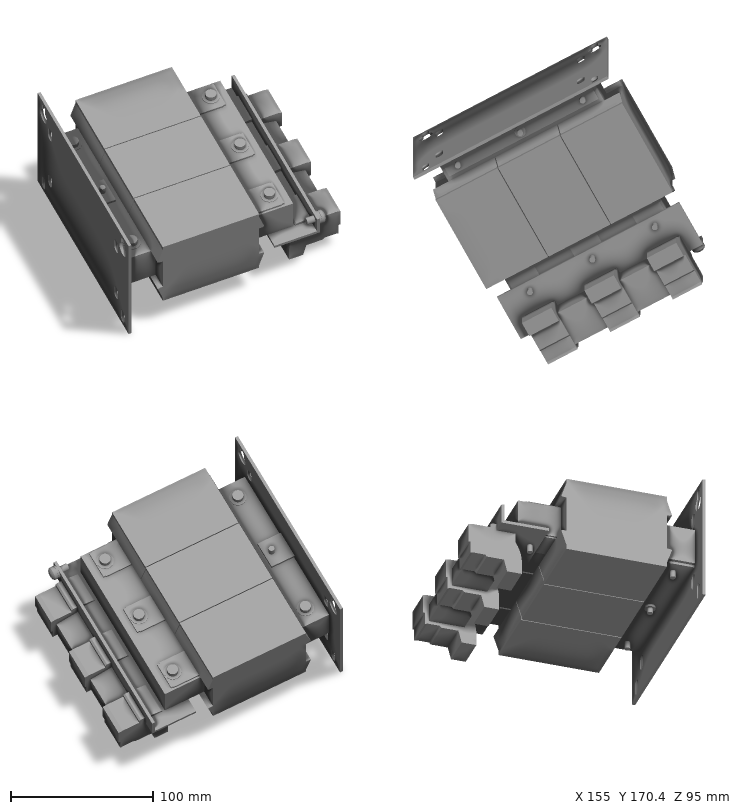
import cadquery as cq


PLATE_WIDTH = 155.0
PLATE_HEIGHT = 95.0
PLATE_THICKNESS = 2.2
MOUNT_X = 67.5
MOUNT_Z = 38.9
MOUNT_SLOT_WIDTH = 5.6
MOUNT_SLOT_LENGTH = 11.6
KEYHOLE_RADIUS = 5.5
KEYHOLE_DROP = 5.6
INNER_SLOT_X = 56.5
INNER_SLOT_Z = 25.0
INNER_SLOT_WIDTH = 6.3
INNER_SLOT_LENGTH = 11.6

PHASE_PITCH = 50.0
PHASES = (-PHASE_PITCH, 0, PHASE_PITCH)
CORE_WIDTH = 124.4
CORE_HEIGHT = 24.4
CORE_FRONT = 3.2
SHEET_FRONT = 2.7
CORE_BACK = 133.8
CORE_MID_Z = 0.7
SHEET_THICKNESS = 1.5
CORE_TOP = CORE_MID_Z + CORE_HEIGHT / 2
CORE_BOTTOM = CORE_MID_Z - CORE_HEIGHT / 2
SHEET_TOP = CORE_TOP + SHEET_THICKNESS
SHEET_BOTTOM = CORE_BOTTOM - SHEET_THICKNESS

COIL_GAP = 0.7
COIL_WIDTH = PHASE_PITCH - COIL_GAP
COIL_FRONT = 27.8
COIL_BACK = 102.0
COIL_HALF_HEIGHT = 29.0
COIL_MID_Z = 0.9
FLARE_REACH = 4.0
FLARE_START = 3.0
LIP_DEPTH = 1.9
LIP_RISE = 0.5

TAB_WIDTH = 21.8
TAB_BACK = 127.8
LOWER_TAB_THICKNESS = 1.0
TAB_NOTCH_WIDTH = 0.5
TAB_NOTCH_LENGTH = 1.9

UPPER_FOOT_WIDTH = 20.8
LOWER_FOOT_WIDTH = 119.3
FOOT_BACK = 20.6
FOOT_THICKNESS = 1.9
FOOT_BOTTOM = SHEET_BOTTOM - FOOT_THICKNESS

FRONT_BOLT_Y = 15.0
BACK_BOLT_Y = 121.0
STUD_RADIUS = 2.0
STUD_TOP = 21.5
STUD_BOTTOM = -20.3
BOLT_HEAD_RADIUS = 4.0
BOLT_HEAD_HEIGHT = 3.4
LOWER_NUT_HEIGHT = 1.7
WASHER_RADIUS = 6.1
WASHER_THICKNESS = 0.5

CARRIER_WIDTH = 145.5
CARRIER_FRONT = 114.7
CARRIER_BACK = 149.6
CARRIER_TOP = 0.3
CARRIER_THICKNESS = 2.2

BLOCK_WIDTH = 23.5
BLOCK_BACK = 170.4
BLOCK_STEP_BACK = 169.0
BLOCK_TOP_BACK = 167.2
BLOCK_TOP = -13.0
RIDGE_BACK = 154.0
RIDGE_TOP = -9.5
CHEEK_TOP_Y = 135.5
CHEEK_TOP_Z = -22.0
CHEEK_MID = (132.2, -28.8)
CHEEK_BOTTOM_Z = -36.6
SKIRT_FRONT = 130.9
SKIRT_BOTTOM = -47.0
BLOCK_STEP_Z = -28.0
BLOCK_BOTTOM = -36.5
TOP_EDGE_DROP = 0.7
BOTTOM_LIP = 0.7
STEP_BACK = 156.8
STEP_SLOPE = 1.2
STEP_DEPTH = 1.4
SKIRT_BACK = 141.8
SKIRT_ROOT_BACK = 144.2
RIDGE_BEVEL = 1.4
RIDGE_BACK_DROP = 1.0
RIDGE_SLOPE_DROP = 1.4
CHEEK_BEVEL = 1.0
RAIL_BACK = 166.0
RAIL_FRONT = 139.7
RAIL_TOP = -15.3
RAIL_DROP = 5.1
RAIL_BOTTOM = -34.0

SCREW_X = 67.5
SCREW_Z = -4.6
SCREW_RADIUS = 2.5
SCREW_END = 141.5
SCREW_HEAD_RADIUS = 4.8
SCREW_NECK_RADIUS = 4.5
SCREW_WASHER = 1.4
SCREW_NECK = 0.7
SCREW_RIM = 2.0
SCREW_DOME = 1.9
SCREW_DOME_FLAT = 1.7
SCREW_DOME_MID_RADIUS = 3.5
SCREW_DOME_MID_RISE = 1.2
RECESS_LENGTH = 5.1
RECESS_WIDTH = 1.0
RECESS_DEPTH = 1.4


def block(x_range, y_range, z_range):
    """Box between the given limits on each axis."""
    spans = [high - low for low, high in (x_range, y_range, z_range)]
    corner = (x_range[0], y_range[0], z_range[0])
    return cq.Workplane("XY").box(*spans, centered=False).translate(corner)


def centred_range(width, centre=0):
    return (centre - width / 2, centre + width / 2)


def upright(x, y, radius, z_low, z_high):
    """Cylinder standing along Z."""
    return cq.Workplane("XY", origin=(x, y, z_low)).circle(radius).extrude(z_high - z_low)


def side_prism(points, width, x=0):
    """Outline in Y and Z, extruded along X and centred on x."""
    start = x - width / 2
    return cq.Workplane("YZ", origin=(start, 0, 0)).polyline(points).close().extrude(width)


def plate_cut(points):
    """Workplane for cutting the plate from its outer face at the given X, Z points."""
    return cq.Workplane("XZ").pushPoints(points)


def mounting_plate():
    plate = block(centred_range(PLATE_WIDTH), (0, PLATE_THICKNESS), centred_range(PLATE_HEIGHT))
    mounts = [(x, z) for x in (-MOUNT_X, MOUNT_X) for z in (-MOUNT_Z, MOUNT_Z)]
    inner = [(x, z) for x in (-INNER_SLOT_X, INNER_SLOT_X) for z in (-INNER_SLOT_Z, INNER_SLOT_Z)]
    keyholes = [(x, MOUNT_Z - KEYHOLE_DROP) for x in (-MOUNT_X, MOUNT_X)]
    cut_sketches = (
        plate_cut(mounts).slot2D(MOUNT_SLOT_LENGTH, MOUNT_SLOT_WIDTH, 90),
        plate_cut(inner).slot2D(INNER_SLOT_LENGTH, INNER_SLOT_WIDTH, 90),
        plate_cut(keyholes).circle(KEYHOLE_RADIUS),
    )
    for sketch in cut_sketches:
        plate = plate.cut(sketch.extrude(-PLATE_THICKNESS))
    return plate


def core():
    laminations = block(centred_range(CORE_WIDTH), (CORE_FRONT, CORE_BACK), (CORE_BOTTOM, CORE_TOP))
    front_sheets = block(centred_range(CORE_WIDTH), (SHEET_FRONT, COIL_FRONT), (SHEET_BOTTOM, SHEET_TOP))
    return laminations.union(front_sheets)


def coil(x):
    """Winding block whose four long edges flare out over the yokes."""
    top = COIL_MID_Z + COIL_HALF_HEIGHT
    bottom = COIL_MID_Z - COIL_HALF_HEIGHT
    front_tip = COIL_FRONT - FLARE_REACH
    back_tip = COIL_BACK + FLARE_REACH
    front_lip = front_tip + LIP_DEPTH
    back_lip = back_tip - LIP_DEPTH
    outline = [
        (COIL_FRONT, top),
        (COIL_FRONT, top - FLARE_START),
        (front_tip, SHEET_TOP + LIP_RISE),
        (front_lip, SHEET_TOP),
        (COIL_FRONT, SHEET_TOP),
        (COIL_FRONT, SHEET_BOTTOM),
        (front_lip, SHEET_BOTTOM),
        (front_tip, SHEET_BOTTOM - LIP_RISE),
        (COIL_FRONT, bottom + FLARE_START),
        (COIL_FRONT, bottom),
        (COIL_BACK, bottom),
        (COIL_BACK, bottom + FLARE_START),
        (back_tip, SHEET_BOTTOM - LIP_RISE),
        (back_lip, SHEET_BOTTOM),
        (COIL_BACK, SHEET_BOTTOM),
        (COIL_BACK, SHEET_TOP),
        (back_lip, SHEET_TOP),
        (back_tip, SHEET_TOP + LIP_RISE),
        (COIL_BACK, top - FLARE_START),
        (COIL_BACK, top),
    ]
    return side_prism(outline, COIL_WIDTH, x)


def insulating_tab(x, z_range):
    """Sheet on the core at a rear bolt, narrowed at its free end."""
    wide = block(centred_range(TAB_WIDTH, x), (COIL_BACK, TAB_BACK - TAB_NOTCH_LENGTH), z_range)
    end = block(centred_range(TAB_WIDTH - 2 * TAB_NOTCH_WIDTH, x), (COIL_BACK, TAB_BACK), z_range)
    return wide.union(end)


def feet():
    """Narrow foot above the core and a wide foot below it."""
    top = block(centred_range(UPPER_FOOT_WIDTH), (0, FOOT_BACK), (SHEET_TOP, SHEET_TOP + FOOT_THICKNESS))
    bottom = block(centred_range(LOWER_FOOT_WIDTH), (0, FOOT_BACK), (FOOT_BOTTOM, SHEET_BOTTOM))
    return top.union(bottom)


def bolt_head(x, y):
    seat = SHEET_TOP + WASHER_THICKNESS
    washer = upright(x, y, WASHER_RADIUS, SHEET_TOP, seat)
    return washer.union(upright(x, y, BOLT_HEAD_RADIUS, seat, seat + BOLT_HEAD_HEIGHT))


def bolt(x, y):
    shank = upright(x, y, STUD_RADIUS, STUD_BOTTOM, SHEET_TOP)
    return shank.union(bolt_head(x, y))


def centre_stud():
    """Headless stud through both feet, with a nut under the lower one."""
    stud = upright(0, FRONT_BOLT_Y, STUD_RADIUS, STUD_BOTTOM, STUD_TOP)
    nut = upright(0, FRONT_BOLT_Y, BOLT_HEAD_RADIUS, FOOT_BOTTOM - LOWER_NUT_HEIGHT, FOOT_BOTTOM)
    return stud.union(nut)


def bolts():
    parts = centre_stud()
    for x in PHASES:
        parts = parts.union(bolt(x, BACK_BOLT_Y))
    for x in (-PHASE_PITCH, PHASE_PITCH):
        parts = parts.union(bolt(x, FRONT_BOLT_Y))
    return parts


def terminal_carrier():
    base_top = CORE_BOTTOM - LOWER_TAB_THICKNESS
    underside = base_top - CARRIER_THICKNESS
    base_z = (underside, base_top)
    base = block(centred_range(CARRIER_WIDTH), (CARRIER_FRONT, CARRIER_BACK), base_z)
    wall_y = (CARRIER_BACK - CARRIER_THICKNESS, CARRIER_BACK)
    return base.union(block(centred_range(CARRIER_WIDTH), wall_y, (underside, CARRIER_TOP)))


def terminal_block(x):
    """Stepped housing with a curved front cheek above its wire-entry skirt."""
    return (
        cq.Workplane("YZ", origin=(x - BLOCK_WIDTH / 2, 0, 0))
        .moveTo(BLOCK_BACK, BLOCK_TOP - TOP_EDGE_DROP)
        .lineTo(BLOCK_TOP_BACK, BLOCK_TOP)
        .lineTo(RIDGE_BACK, BLOCK_TOP)
        .lineTo(RIDGE_BACK, RIDGE_TOP - RIDGE_BACK_DROP)
        .lineTo(RIDGE_BACK - RIDGE_BEVEL, RIDGE_TOP)
        .lineTo(CARRIER_BACK - CARRIER_THICKNESS, RIDGE_TOP)
        .lineTo(CHEEK_TOP_Y + CHEEK_BEVEL, RIDGE_TOP - RIDGE_SLOPE_DROP)
        .lineTo(CHEEK_TOP_Y, RIDGE_TOP - RIDGE_SLOPE_DROP - CHEEK_BEVEL)
        .lineTo(CHEEK_TOP_Y, CHEEK_TOP_Z)
        .threePointArc(CHEEK_MID, (SKIRT_FRONT, CHEEK_BOTTOM_Z))
        .lineTo(SKIRT_FRONT, SKIRT_BOTTOM)
        .lineTo(SKIRT_BACK, SKIRT_BOTTOM)
        .lineTo(SKIRT_ROOT_BACK, BLOCK_BOTTOM - STEP_DEPTH)
        .lineTo(STEP_BACK, BLOCK_BOTTOM - STEP_DEPTH)
        .lineTo(STEP_BACK + STEP_SLOPE, BLOCK_BOTTOM)
        .lineTo(BLOCK_TOP_BACK, BLOCK_BOTTOM)
        .lineTo(BLOCK_STEP_BACK, BLOCK_BOTTOM - BOTTOM_LIP)
        .lineTo(BLOCK_STEP_BACK, BLOCK_STEP_Z)
        .lineTo(BLOCK_BACK, BLOCK_STEP_Z)
        .close()
        .extrude(BLOCK_WIDTH)
    )


def terminal_rail():
    """Sloping bar that links the terminal blocks."""
    outline = [
        (RAIL_FRONT, RAIL_TOP),
        (RAIL_BACK, RAIL_TOP - RAIL_DROP),
        (RAIL_BACK, RAIL_BOTTOM),
        (RAIL_FRONT, RAIL_BOTTOM),
    ]
    return side_prism(outline, 2 * PHASE_PITCH)


def earth_screw():
    """Cross-recessed screw through the carrier wall, with a washer under its head."""
    washer_end = CARRIER_BACK + SCREW_WASHER
    neck_end = washer_end + SCREW_NECK
    rim_end = neck_end + SCREW_RIM
    head_end = rim_end + SCREW_DOME
    profile = [
        (0, SCREW_END),
        (SCREW_RADIUS, SCREW_END),
        (SCREW_RADIUS, CARRIER_BACK),
        (SCREW_HEAD_RADIUS, CARRIER_BACK),
        (SCREW_HEAD_RADIUS, washer_end),
        (SCREW_NECK_RADIUS, washer_end),
        (SCREW_NECK_RADIUS, neck_end),
        (SCREW_HEAD_RADIUS, neck_end),
        (SCREW_HEAD_RADIUS, rim_end),
    ]
    dome_middle = (SCREW_DOME_MID_RADIUS, rim_end + SCREW_DOME_MID_RISE)
    screw = (
        cq.Workplane("XY")
        .polyline(profile)
        .threePointArc(dome_middle, (SCREW_DOME_FLAT, head_end))
        .lineTo(0, head_end)
        .close()
        .revolve(360, (0, 0), (0, 1))
    )
    recess_y = (head_end - RECESS_DEPTH, head_end)
    long_side = centred_range(RECESS_LENGTH)
    short_side = centred_range(RECESS_WIDTH)
    screw = screw.cut(block(long_side, recess_y, short_side)).cut(block(short_side, recess_y, long_side))
    return screw.translate((SCREW_X, 0, SCREW_Z))


choke = mounting_plate().union(core()).union(feet())
for phase_x in PHASES:
    choke = choke.union(coil(phase_x))
    choke = choke.union(insulating_tab(phase_x, (CORE_TOP, SHEET_TOP)))
    choke = choke.union(insulating_tab(phase_x, (CORE_BOTTOM - LOWER_TAB_THICKNESS, CORE_BOTTOM)))
choke = choke.union(bolts()).union(terminal_carrier()).union(terminal_rail())
for phase_x in PHASES:
    choke = choke.union(terminal_block(phase_x))
result = choke.union(earth_screw())